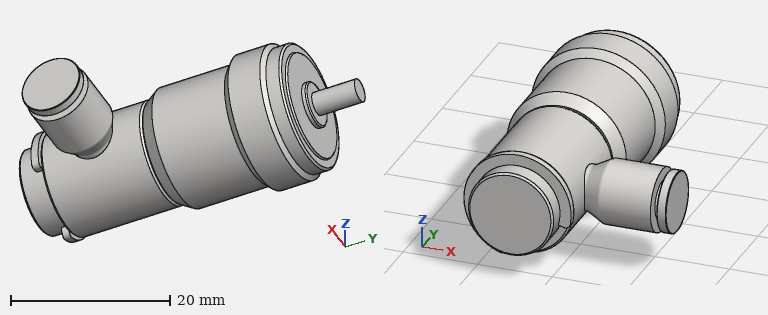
import cadquery as cq
import math

OVERALL_LENGTH = 45.0

SHAFT_RADIUS = 1.55
SHAFT_LENGTH = 6.0

NOSE_RADIUS = 3.0
NOSE_LENGTH = 0.68
NOSE_CHAMFER = 0.2
PLATE_RADIUS = 7.05
PLATE_FRONT_RADIUS = 6.95
PLATE_LENGTH = 0.25
CAP_RADIUS = 8.35
CAP_LENGTH = 2.05
CAP_CHAMFER = 0.25
HEAD_RADIUS = 9.0
HEAD_REAR_Y = 31.0
HEAD_FRONT_Y = 35.45
BARREL_RADIUS = 8.0
BARREL_REAR_Y = 19.85
TAPER_REAR_Y = 18.05
TAPER_REAR_RADIUS = 6.95
STEM_RADIUS = 5.7
STEM_CHAMFER = 0.25

RING_RADIUS = 7.2
RING_REAR_Y = 2.5
RING_THICKNESS = 1.0
RING_GAP_DIRECTION = -60.0
RING_GAP_HALF_ANGLE = 43.5
RING_END_FILLET = 0.68

SLEEVE_RADIUS = 6.98
SLEEVE_CHAMFER = 0.25
SLEEVE_CLEARANCE = 0.2
SLEEVE_REAR_Y = RING_REAR_Y + RING_THICKNESS + SLEEVE_CLEARANCE
SLEEVE_FRONT_Y = TAPER_REAR_Y - SLEEVE_CLEARANCE

FITTING_Y = 10.8
TAIL_RADIUS = 3.0
TAIL_END_X = 7.0
FITTING_RADIUS = 4.25
SHOULDER_X = 9.3
CONE_FILLET = 0.5
FITTING_END_X = 16.3

BUTTON_NECK_RADIUS = 2.6
BUTTON_FLANGE_X = 17.05
BUTTON_FLANGE_RADIUS = 4.05
BUTTON_END_X = 18.3
BUTTON_CHAMFER = 0.1


def cylinder_along_y(radius, rear_y, front_y):
    """Cylinder on the main axis between two Y positions."""
    return cq.Workplane("XZ", origin=(0, front_y, 0)).circle(radius).extrude(front_y - rear_y)


def turned_along_y(profile):
    """Body turned about the main axis from (radius, Y) points."""
    return cq.Workplane("XY").polyline(profile).close().revolve(360, (0, 0, 0), (0, 1, 0))


def turned_along_fitting(profile):
    """Body turned about the fitting axis from (X, radius) points."""
    plane = cq.Workplane("XY", origin=(0, FITTING_Y, 0))
    return plane.polyline(profile).close().revolve(360, (0, 0, 0), (1, 0, 0))


def make_shaft():
    return cylinder_along_y(SHAFT_RADIUS, OVERALL_LENGTH - SHAFT_LENGTH, OVERALL_LENGTH)


def make_housing():
    """Stepped housing whose rear stem carries the sleeve and the retaining ring."""
    nose_front = OVERALL_LENGTH - SHAFT_LENGTH
    plate_front = nose_front - NOSE_LENGTH
    cap_front = plate_front - PLATE_LENGTH
    cap_rear = cap_front - CAP_LENGTH
    barrel_front = HEAD_REAR_Y - (HEAD_RADIUS - BARREL_RADIUS)
    return turned_along_y([
        (0, 0),
        (STEM_RADIUS - STEM_CHAMFER, 0),
        (STEM_RADIUS, STEM_CHAMFER),
        (STEM_RADIUS, TAPER_REAR_Y),
        (TAPER_REAR_RADIUS, TAPER_REAR_Y),
        (BARREL_RADIUS, BARREL_REAR_Y),
        (BARREL_RADIUS, barrel_front),
        (HEAD_RADIUS, HEAD_REAR_Y),
        (HEAD_RADIUS, HEAD_FRONT_Y),
        (CAP_RADIUS, cap_rear),
        (CAP_RADIUS, cap_front - CAP_CHAMFER),
        (CAP_RADIUS - CAP_CHAMFER, cap_front),
        (PLATE_RADIUS, cap_front),
        (PLATE_FRONT_RADIUS, plate_front),
        (NOSE_RADIUS, plate_front),
        (NOSE_RADIUS, nose_front - NOSE_CHAMFER),
        (NOSE_RADIUS - NOSE_CHAMFER, nose_front),
        (0, nose_front),
    ])


def make_sleeve(fitting):
    """Swivel sleeve on the stem, with a radial hole that matches the fitting tail."""
    sleeve = cylinder_along_y(SLEEVE_RADIUS, SLEEVE_REAR_Y, SLEEVE_FRONT_Y)
    sleeve = sleeve.faces("<Y or >Y").chamfer(SLEEVE_CHAMFER)
    bore = cylinder_along_y(STEM_RADIUS, SLEEVE_REAR_Y, SLEEVE_FRONT_Y)
    return sleeve.cut(bore).cut(fitting)


def make_ring():
    """Open retaining ring with rounded outer corners at its gap."""
    ring_front_y = RING_REAR_Y + RING_THICKNESS
    ring = cylinder_along_y(RING_RADIUS, RING_REAR_Y, ring_front_y)
    ring = ring.cut(cylinder_along_y(STEM_RADIUS, RING_REAR_Y, ring_front_y))
    reach = 2 * RING_RADIUS
    half_angle = math.radians(RING_GAP_HALF_ANGLE)
    gap_side = reach * math.sin(half_angle)
    gap_depth = reach * math.cos(half_angle)
    gap = (
        cq.Workplane("XZ", origin=(0, ring_front_y, 0))
        .polyline([(0, 0), (gap_depth, -gap_side), (gap_depth, gap_side)])
        .close()
        .extrude(RING_THICKNESS)
    )
    corner_x = RING_RADIUS * math.cos(half_angle)
    corner_z = RING_RADIUS * math.sin(half_angle)
    ring = ring.cut(gap)
    middle_y = RING_REAR_Y + RING_THICKNESS / 2
    for side in (-1, 1):
        corner = cq.selectors.NearestToPointSelector((corner_x, middle_y, side * corner_z))
        ring = ring.edges("|Y").edges(corner).fillet(RING_END_FILLET)
    return ring.rotate((0, 0, 0), (0, 1, 0), -RING_GAP_DIRECTION)


def make_fitting():
    """Hose fitting: tail plugged into the sleeve, cone and cylindrical socket."""
    fitting = turned_along_fitting([
        (0, 0),
        (0, TAIL_RADIUS),
        (TAIL_END_X, TAIL_RADIUS),
        (SHOULDER_X, FITTING_RADIUS),
        (FITTING_END_X, FITTING_RADIUS),
        (FITTING_END_X, 0),
    ])
    cone_ends = cq.selectors.BoxSelector(
        (TAIL_END_X / 2, FITTING_Y - FITTING_RADIUS, -FITTING_RADIUS),
        ((SHOULDER_X + FITTING_END_X) / 2, FITTING_Y + FITTING_RADIUS, FITTING_RADIUS),
    )
    fitting = fitting.edges("%CIRCLE").edges(cone_ends).fillet(CONE_FILLET)
    return fitting.cut(cylinder_along_y(STEM_RADIUS, SLEEVE_REAR_Y, SLEEVE_FRONT_Y))


def make_button():
    """Flanged release button at the open end of the fitting."""
    return turned_along_fitting([
        (FITTING_END_X, 0),
        (FITTING_END_X, BUTTON_NECK_RADIUS),
        (BUTTON_FLANGE_X, BUTTON_NECK_RADIUS),
        (BUTTON_FLANGE_X, BUTTON_FLANGE_RADIUS - BUTTON_CHAMFER),
        (BUTTON_FLANGE_X + BUTTON_CHAMFER, BUTTON_FLANGE_RADIUS),
        (BUTTON_END_X - BUTTON_CHAMFER, BUTTON_FLANGE_RADIUS),
        (BUTTON_END_X, BUTTON_FLANGE_RADIUS - BUTTON_CHAMFER),
        (BUTTON_END_X, 0),
    ])


shaft = make_shaft()
housing = make_housing()
fitting = make_fitting()
sleeve = make_sleeve(fitting)
ring = make_ring()
button = make_button()

result = cq.Compound.makeCompound([
    shaft.val(),
    housing.val(),
    sleeve.val(),
    ring.val(),
    fitting.val(),
    button.val(),
])